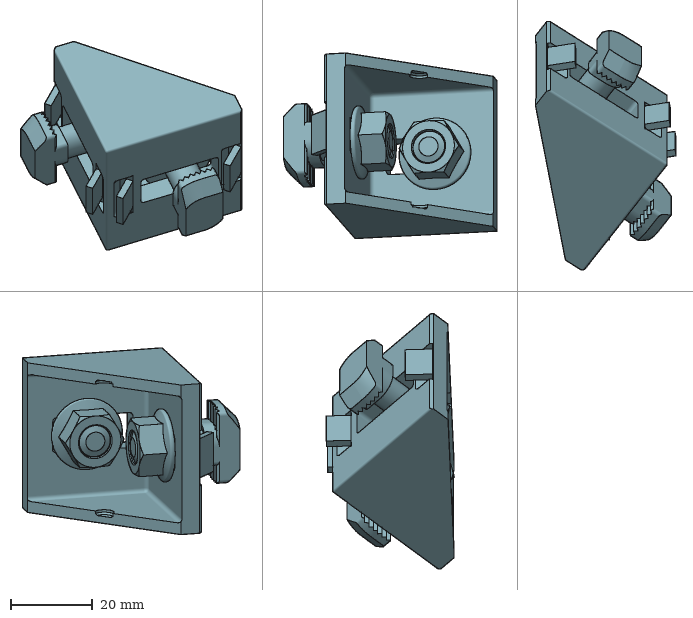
import cadquery as cq
import math


leg = 36.0
height = 38.0
end_width = 5.5
end_chamfer = 0.7
edge_radius = 0.6
wall = 5.2
cheek = 2.9
cavity_radius = 1.05

notch_radius = 2.4
notch_depth = 1.1
notch_chamfer = 0.5

slot_start = 9.1
slot_end = 29.5
slot_width = 8.9
slot_radius = 0.95

tab_width = 9.95
tab_thickness = 1.8
pocket_width = 14.0
pocket_radius = 0.95
end_tab = {"root": -35.15, "pocket_floor": -36.3, "pocket_end": -30.3, "tip": -26.8}
corner_tab = {"root": -7.0, "pocket_floor": -7.05, "pocket_end": -2.0, "tip": 1.6}

bolt_offset_front = 21.5
bolt_offset_side = 21.0
shank_radius = 4.0
tip_radius = 2.4
tip_length = 0.72
neck_start = 3.57
head_start = 6.45
head_end = 48.3 - leg
head_width = 9.75
head_length = 19.1
head_chamfer = 3.3
head_corner_radius = 0.95
tooth_pitch = 1.45
tooth_depth = 0.75
tooth_count = 7

nut_end = 13.6
nut_flats = 13.0
flange_radius = 9.0
flange_rim = 1.2
flange_face_round = 0.65
flange_back_round = 0.5
flange_slope = 21.0
nut_chamfer_slope = 30.0
bore_chamfer = 0.3


def swap_walls(shape):
    """Mirror a front wall feature onto the side wall."""
    return shape.mirror(cq.Vector(1, 1, 0))


def slanted_block(sum_from, sum_to, diff_from, diff_to, width):
    """Block turned 45 degrees about Z, between two values of x + y and two values of x - y."""
    corners = [(sum_from, diff_from), (sum_to, diff_from), (sum_to, diff_to), (sum_from, diff_to)]
    points = [((total + diff) / 2, (total - diff) / 2) for total, diff in corners]
    return cq.Workplane("XY").polyline(points).close().extrude(width / 2, both=True)


def make_blank():
    """Solid triangular corner with rounded outer edges and chamfered wall ends."""
    outline = [
        (0, 0),
        (0, leg - end_chamfer),
        (-end_chamfer, leg),
        (-end_width, leg),
        (-leg, end_width),
        (-leg, end_chamfer),
        (-leg + end_chamfer, 0),
    ]
    blank = cq.Workplane("XY").polyline(outline).close().extrude(height / 2, both=True)
    return blank.faces("<Y or >X").edges("|X or |Y or (>X and <Y)").fillet(edge_radius)


def make_cavity():
    """Inside of the bracket, open towards the sloping side."""
    size = 2 * leg
    return (
        cq.Workplane("XY")
        .box(size, size, height - 2 * cheek)
        .edges()
        .fillet(cavity_radius)
        .translate((-wall - size / 2, wall + size / 2, 0))
    )


def make_notches():
    """Cylinder that cuts a half-round notch into both cheeks."""
    middle = (leg + end_width) / 2
    return (
        cq.Workplane("XY")
        .circle(notch_radius)
        .extrude(height / 2 - cheek + notch_depth, both=True)
        .faces("|Z")
        .chamfer(notch_chamfer)
        .translate((-middle, middle, 0))
    )


def make_slot():
    """Rounded rectangular slot through the front wall."""
    return (
        cq.Workplane("XY")
        .box(slot_end - slot_start, wall, slot_width)
        .edges("|Y")
        .fillet(slot_radius)
        .translate((-(slot_start + slot_end) / 2, wall / 2, 0))
    )


def make_pocket(tab):
    """Slanted pocket around a tab's root, with rounded corners at its inner end."""
    open_side = tab["root"] - wall
    outside = tab["tip"]
    return (
        slanted_block(open_side, tab["pocket_end"], tab["pocket_floor"], outside, pocket_width)
        .faces(cq.selectors.DirectionMinMaxSelector(cq.Vector(1, 1, 0)))
        .edges("#Z")
        .fillet(pocket_radius)
    )


def make_tab(tab):
    """Slanted tab that stands on the floor of its pocket."""
    far_side = tab["root"] + tab_thickness * math.sqrt(2)
    return slanted_block(tab["root"], far_side, tab["pocket_floor"], tab["tip"], tab_width)


def make_bracket():
    body = make_blank().cut(make_cavity()).cut(make_notches())
    slot = make_slot()
    body = body.cut(slot).cut(swap_walls(slot))
    for tab in (end_tab, corner_tab):
        pocket = make_pocket(tab)
        body = body.cut(pocket).cut(swap_walls(pocket))
    for tab in (end_tab, corner_tab):
        prong = make_tab(tab)
        body = body.union(prong).union(swap_walls(prong))
    return body


def half_turn_outline(half_width, half_length):
    """Outline with two square corners and, diagonally opposite, two corners cut by the circle."""
    rise = math.sqrt(half_length**2 - half_width**2)
    middle = math.atan2(half_width, half_length + rise)
    arc_x = half_length * math.sin(middle)
    arc_z = half_length * math.cos(middle)
    return (
        cq.Workplane("XZ")
        .moveTo(0, half_length)
        .lineTo(half_width, half_length)
        .lineTo(half_width, -rise)
        .threePointArc((arc_x, -arc_z), (0, -half_length))
        .lineTo(-half_width, -half_length)
        .lineTo(-half_width, rise)
        .threePointArc((-arc_x, arc_z), (0, half_length))
        .close()
    )


def make_head_envelope():
    """Chamfered end of the head: flat slopes at the square corners, cones at the round ones."""
    half_length = head_length / 2
    profile = [
        (0, 0),
        (half_length, 0),
        (half_length, head_chamfer - head_end),
        (half_length - head_chamfer, -head_end),
        (0, -head_end),
    ]
    square_corner = (
        cq.Workplane("YZ").polyline([(y, radius) for radius, y in profile]).close().extrude(head_width / 2)
    )
    round_corner = cq.Workplane("XY").polyline(profile).close().revolve(90, (0, 0, 0), (0, 1, 0))
    half = square_corner.union(round_corner)
    return half.union(half.rotate((0, 0, 0), (0, 1, 0), 180))


def make_head():
    """T-head, with V-grooves along Z in the face that grips the profile."""
    head = (
        half_turn_outline(head_width / 2, head_length / 2)
        .extrude(head_end - head_start)
        .edges("|Y and (<X or >X)")
        .fillet(head_corner_radius)
        .translate((0, -head_start, 0))
        .intersect(make_head_envelope())
    )
    first_root = -tooth_count * tooth_pitch / 2
    for index in range(tooth_count + 1):
        root = first_root + index * tooth_pitch
        groove = (
            cq.Workplane("XY")
            .moveTo(root - tooth_pitch / 2, -head_start)
            .lineTo(root, -head_start - tooth_depth)
            .lineTo(root + tooth_pitch / 2, -head_start)
            .close()
            .extrude(head_length, both=True)
        )
        head = head.cut(groove)
    return head


def make_neck():
    """Neck under the head, with two square corners that stop it after a quarter turn."""
    return (
        half_turn_outline(head_width / 2, head_width / 2)
        .extrude(head_start + tooth_depth - neck_start)
        .edges("|Y and ((>X and >Z) or (<X and <Z))")
        .fillet(head_corner_radius)
        .translate((0, -neck_start, 0))
    )


def make_bolt():
    """T-head bolt along Y, with its head outside the front wall."""
    shank = (
        cq.Workplane("XZ", origin=(0, nut_end, 0))
        .circle(shank_radius)
        .extrude(nut_end + neck_start)
        .faces(">Y")
        .chamfer(tip_length, shank_radius - tip_radius)
    )
    return shank.union(make_neck()).union(make_head())


def revolve_about_axis(profile):
    """Turned solid about the Y axis, from (radius, y) points."""
    return cq.Workplane("XY").polyline(profile).close().revolve(360, (0, 0, 0), (0, 1, 0))


def make_nut():
    """Flange nut along Y, seated on the inner face of the front wall."""
    corner_radius = nut_flats / math.sqrt(3)
    flats_radius = nut_flats / 2
    hexagon = cq.Workplane("XZ", origin=(0, nut_end, 0)).polygon(6, 2 * corner_radius)
    corner_drop = (corner_radius - flats_radius) * math.tan(math.radians(nut_chamfer_slope))
    chamfer_cone = [
        (0, wall),
        (corner_radius, wall),
        (corner_radius, nut_end - corner_drop),
        (flats_radius, nut_end),
        (0, nut_end),
    ]
    barrel = hexagon.extrude(nut_end - wall).intersect(revolve_about_axis(chamfer_cone))

    flange_rise = (flange_radius - shank_radius) * math.tan(math.radians(flange_slope))
    flange_profile = [
        (0, wall),
        (flange_radius, wall),
        (flange_radius, wall + flange_rim),
        (shank_radius, wall + flange_rim + flange_rise),
        (0, wall + flange_rim + flange_rise),
    ]
    flange = (
        revolve_about_axis(flange_profile)
        .faces("<Y")
        .edges()
        .fillet(flange_face_round)
        .edges(cq.selectors.RadiusNthSelector(-1))
        .edges(">Y")
        .fillet(flange_back_round)
    )

    bore = cq.Workplane("XZ", origin=(0, nut_end, 0)).circle(shank_radius).extrude(nut_end)
    nut = barrel.union(flange).cut(bore)
    bore_edge = cq.selectors.RadiusNthSelector(0)
    return nut.faces(">Y").edges("%CIRCLE").edges(bore_edge).chamfer(bore_chamfer)


def place_front(shape):
    """Move a bolt or nut to its place in the front wall."""
    return shape.translate((-bolt_offset_front, 0, 0))


def place_side(shape):
    """Turn a bolt or nut to the side wall and move it to its place there."""
    return shape.rotate((0, 0, 0), (0, 0, 1), 90).translate((0, bolt_offset_side, 0))


bracket = make_bracket()
places = (place_front, place_side)
bolts = [place(make_bolt()) for place in places]
nuts = [place(make_nut()) for place in places]

result = cq.Compound.makeCompound([bracket.val(), *[fastener.val() for fastener in bolts + nuts]])